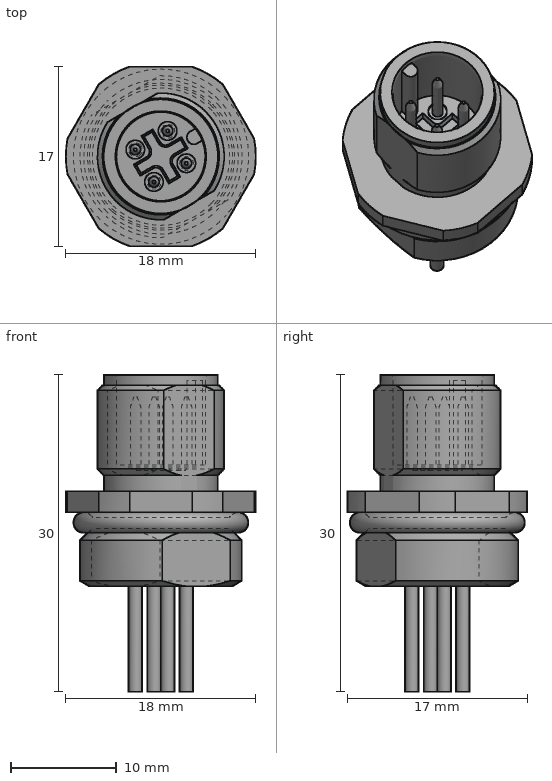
import math

import cadquery as cq

BODY_BOTTOM = 10.0
BODY_HEIGHT = 5.06
RING_THICKNESS = 1.94
FLANGE_THICKNESS = 2.0
GROOVE_BOTTOM = BODY_BOTTOM + BODY_HEIGHT
FLANGE_BOTTOM = GROOVE_BOTTOM + RING_THICKNESS
FLANGE_TOP = FLANGE_BOTTOM + FLANGE_THICKNESS
NECK_HEIGHT = 1.5
THREAD_BOTTOM = FLANGE_TOP + NECK_HEIGHT
TOP = 30.0
COLLAR_HEIGHT = 1.0
THREAD_TOP = TOP - COLLAR_HEIGHT

BODY_RADIUS = 7.67
BODY_BOTTOM_BEVEL_WIDTH = 0.9
BODY_BOTTOM_BEVEL_HEIGHT = BODY_BOTTOM_BEVEL_WIDTH * math.tan(math.radians(30))
BODY_TOP_BEVEL = 0.71

RING_OUTER_RADIUS = 8.29
GROOVE_RADIUS = 6.5

FLANGE_ACROSS_FLATS = 17.0
FLANGE_CORNER_RADIUS = 9.0
FLANGE_ROTATION = 30.0

THREAD_RADIUS = 6.0
NECK_RADIUS = 5.4
THREAD_BOTTOM_BEVEL = THREAD_RADIUS - NECK_RADIUS
THREAD_TOP_BEVEL = 0.47

FLAT_DIRECTION = 120.0
BODY_FLAT_DISTANCE = 6.7
SLEEVE_FLAT_DISTANCE = 5.33

BORE_RADIUS = 4.2
BORE_MOUTH_RADIUS = 4.3
BORE_MOUTH_DEPTH = 0.5
BORE_DEPTH = 8.5
FLOOR = TOP - BORE_DEPTH

KEY_DIRECTION = 30.0
KEY_DISTANCE = 3.6
KEY_RADIUS = 0.65
KEY_TOP = TOP - BORE_MOUTH_DEPTH

CONTACT_COUNT = 4
CONTACT_CIRCLE_RADIUS = 2.5
FIRST_CONTACT_ANGLE = 75.0
PIN_RADIUS = 0.5
PIN_SHOULDER_HEIGHT = 0.25
PIN_CONE_RADIUS = 0.43
PIN_CONE_LENGTH = 0.78
PIN_TIP_RADIUS = 0.15
PIN_TIP_DEPTH = 2.05
PIN_RECESS_RADIUS = 0.88
PIN_RECESS_DEPTH = 0.2
WIRE_RADIUS = 0.65

CROSS_ARM_WIDTH = 1.24
CROSS_LENGTH = 5.2
CROSS_CORNER_RADIUS = 0.6
CROSS_DEPTH = 0.5
CROSS_WALL_TAPER = 20.0


def cylinder(radius, bottom, top):
    return cq.Workplane("XY", origin=(0, 0, bottom)).circle(radius).extrude(top - bottom)


def polar(radius, angle):
    return radius * math.cos(math.radians(angle)), radius * math.sin(math.radians(angle))


def contact_positions():
    step = 360 / CONTACT_COUNT
    return [polar(CONTACT_CIRCLE_RADIUS, FIRST_CONTACT_ANGLE + i * step) for i in range(CONTACT_COUNT)]


def cut_to_flats(solid, distance, bottom, top):
    """Keep what lies between two parallel flats within a height band, and everything outside it."""
    height = top - bottom
    length = 4 * distance
    band = cq.Workplane("XY", origin=(0, 0, bottom)).rect(length, length).extrude(height)
    slab = cq.Workplane("XY", origin=(0, 0, bottom)).rect(2 * distance, length).extrude(height)
    outside = band.cut(slab).rotate((0, 0, 0), (0, 0, 1), FLAT_DIRECTION)
    return solid.cut(outside)


def lower_body():
    body_profile = [
        (0, BODY_BOTTOM),
        (BODY_RADIUS - BODY_BOTTOM_BEVEL_WIDTH, BODY_BOTTOM),
        (BODY_RADIUS, BODY_BOTTOM + BODY_BOTTOM_BEVEL_HEIGHT),
        (BODY_RADIUS, GROOVE_BOTTOM - BODY_TOP_BEVEL),
        (BODY_RADIUS - BODY_TOP_BEVEL, GROOVE_BOTTOM),
        (0, GROOVE_BOTTOM),
    ]
    body = cq.Workplane("XZ").polyline(body_profile).close().revolve(360, (0, 0), (0, 1))
    return cut_to_flats(body, BODY_FLAT_DISTANCE, BODY_BOTTOM, GROOVE_BOTTOM)


def sealing_ring():
    section_radius = RING_THICKNESS / 2
    section_center = (RING_OUTER_RADIUS - section_radius, GROOVE_BOTTOM + section_radius)
    ring = (
        cq.Workplane("XZ")
        .moveTo(*section_center)
        .circle(section_radius)
        .revolve(360, (0, 0), (0, 1))
    )
    return cylinder(GROOVE_RADIUS, GROOVE_BOTTOM, FLANGE_BOTTOM).union(ring)


def flange():
    hexagon = (
        cq.Workplane("XY", origin=(0, 0, FLANGE_BOTTOM))
        .polygon(6, FLANGE_ACROSS_FLATS, circumscribed=True)
        .extrude(FLANGE_THICKNESS)
        .rotate((0, 0, 0), (0, 0, 1), FLANGE_ROTATION)
    )
    return hexagon.intersect(cylinder(FLANGE_CORNER_RADIUS, FLANGE_BOTTOM, FLANGE_TOP))


def sleeve():
    thread_profile = [
        (0, FLANGE_TOP),
        (NECK_RADIUS, FLANGE_TOP),
        (NECK_RADIUS, THREAD_BOTTOM),
        (THREAD_RADIUS, THREAD_BOTTOM + THREAD_BOTTOM_BEVEL),
        (THREAD_RADIUS, THREAD_TOP - THREAD_TOP_BEVEL),
        (THREAD_RADIUS - THREAD_TOP_BEVEL, THREAD_TOP),
        (0, THREAD_TOP),
    ]
    thread = cq.Workplane("XZ").polyline(thread_profile).close().revolve(360, (0, 0), (0, 1))
    thread = cut_to_flats(thread, SLEEVE_FLAT_DISTANCE, FLANGE_TOP, THREAD_TOP)
    return thread.union(cylinder(NECK_RADIUS, THREAD_TOP, TOP))


def socket_bore():
    bore_profile = [
        (0, FLOOR),
        (BORE_RADIUS, FLOOR),
        (BORE_RADIUS, TOP - BORE_MOUTH_DEPTH),
        (BORE_MOUTH_RADIUS, TOP),
        (0, TOP),
    ]
    return cq.Workplane("XZ").polyline(bore_profile).close().revolve(360, (0, 0), (0, 1))


def cross_recess():
    """Two crossed bars with rounded inner corners, aligned with the coding key and narrowing downwards."""
    arms = cq.Workplane("XY", origin=(0, 0, FLOOR)).sketch()
    arms = arms.rect(CROSS_LENGTH, CROSS_ARM_WIDTH).rect(CROSS_ARM_WIDTH, CROSS_LENGTH).clean()
    corner_reach = (CROSS_ARM_WIDTH + CROSS_LENGTH) / 4
    inner_corners = cq.selectors.BoxSelector(
        (-corner_reach, -corner_reach, -corner_reach),
        (corner_reach, corner_reach, corner_reach),
    )
    cross = arms.reset().vertices(inner_corners).fillet(CROSS_CORNER_RADIUS).finalize()
    return cross.extrude(-CROSS_DEPTH, taper=CROSS_WALL_TAPER).rotate((0, 0, 0), (0, 0, 1), KEY_DIRECTION)


def coding_key():
    """Round-nosed rib that reaches outwards into the bore wall."""
    wall_radius = (BORE_RADIUS + NECK_RADIUS) / 2
    rib_length = wall_radius - KEY_DISTANCE
    base = cq.Workplane("XY", origin=(0, 0, FLOOR))
    nose = base.center(KEY_DISTANCE, 0).circle(KEY_RADIUS).extrude(KEY_TOP - FLOOR)
    root = (
        base.center(KEY_DISTANCE + rib_length / 2, 0)
        .rect(rib_length, 2 * KEY_RADIUS)
        .extrude(KEY_TOP - FLOOR)
    )
    return nose.union(root).rotate((0, 0, 0), (0, 0, 1), KEY_DIRECTION)


def pin():
    """Round pin with a rounded shoulder below a blunt conical tip."""
    pin_bottom = FLOOR - PIN_RECESS_DEPTH
    pin_top = TOP - PIN_TIP_DEPTH
    cone_bottom = pin_top - PIN_CONE_LENGTH
    shoulder_bottom = cone_bottom - PIN_SHOULDER_HEIGHT
    pin_profile = (
        cq.Workplane("XZ")
        .moveTo(0, pin_bottom)
        .lineTo(PIN_RADIUS, pin_bottom)
        .lineTo(PIN_RADIUS, shoulder_bottom)
        .tangentArcPoint((PIN_CONE_RADIUS, cone_bottom), relative=False)
        .lineTo(PIN_TIP_RADIUS, pin_top)
        .lineTo(0, pin_top)
        .close()
    )
    return pin_profile.revolve(360, (0, 0), (0, 1))


connector = lower_body().union(sealing_ring()).union(flange()).union(sleeve())
connector = connector.cut(socket_bore()).cut(cross_recess()).union(coding_key())
for x, y in contact_positions():
    recess = cylinder(PIN_RECESS_RADIUS, FLOOR - PIN_RECESS_DEPTH, FLOOR)
    wire = cylinder(WIRE_RADIUS, 0, BODY_BOTTOM)
    connector = connector.cut(recess.translate((x, y, 0)))
    connector = connector.union(pin().translate((x, y, 0))).union(wire.translate((x, y, 0)))

result = connector